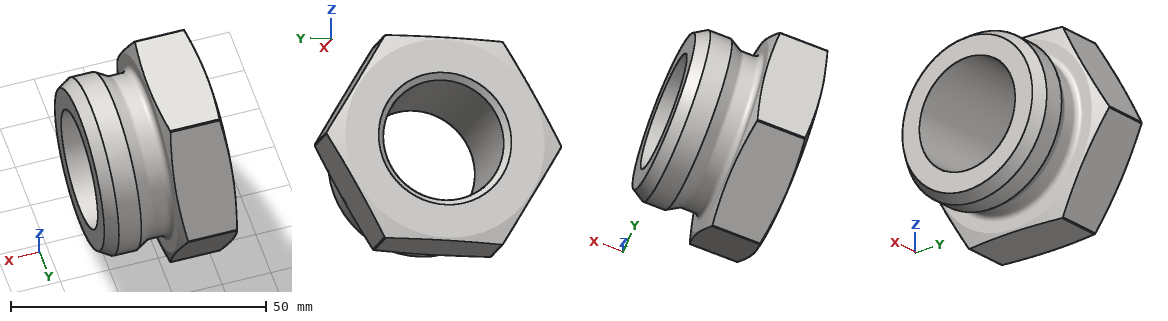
import cadquery as cq
import math

across_flats = 41.0
across_corners = 47.2
head_length = 12.0
head_face_diameter = 40.0
head_chamfer_angle = 15.0

total_length = 26.0
neck_diameter = 32.9
collar_diameter = 36.0
neck_fillet = 1.27
collar_taper_angle = 30.0
collar_start = 18.88
end_taper_length = 2.55

bore_diameter = 24.2
bore_mouth_diameter = 26.7
bore_chamfer_angle = 45.0


def revolve_about_x(profile):
    """Revolve a closed profile of (x, radius) points about the X axis."""
    return profile.close().revolve(360, (0, 0, 0), (1, 0, 0))


def make_head():
    """Hexagon with corners on +Y and -Y, turned to a cone at both faces."""
    hexagon_diameter = across_flats / math.cos(math.radians(30))
    prism = cq.Workplane("YZ").polygon(6, hexagon_diameter).extrude(head_length)
    corner_radius = across_corners / 2
    face_radius = head_face_diameter / 2
    chamfer_length = (corner_radius - face_radius) * math.tan(math.radians(head_chamfer_angle))
    envelope = revolve_about_x(
        cq.Workplane("XY")
        .moveTo(0, 0)
        .lineTo(0, face_radius)
        .lineTo(chamfer_length, corner_radius)
        .lineTo(head_length - chamfer_length, corner_radius)
        .lineTo(head_length, face_radius)
        .lineTo(head_length, 0)
    )
    return prism.intersect(envelope)


def make_shank():
    """Neck filleted at the head and the collar, followed by a collar tapered at both ends."""
    neck_radius = neck_diameter / 2
    collar_radius = collar_diameter / 2
    taper = math.radians(collar_taper_angle)
    taper_length = (collar_radius - neck_radius) / math.tan(taper)
    taper_start = collar_start - taper_length
    blend_start = taper_start - neck_fillet * math.tan(taper / 2)

    def blend_point(angle):
        return (
            blend_start + neck_fillet * math.sin(angle),
            neck_radius + neck_fillet * (1 - math.cos(angle)),
        )

    arc_inset = neck_fillet * (1 - math.sqrt(0.5))
    return revolve_about_x(
        cq.Workplane("XY")
        .moveTo(0, 0)
        .lineTo(0, neck_radius + neck_fillet)
        .lineTo(head_length, neck_radius + neck_fillet)
        .threePointArc(
            (head_length + arc_inset, neck_radius + arc_inset),
            (head_length + neck_fillet, neck_radius),
        )
        .lineTo(blend_start, neck_radius)
        .threePointArc(blend_point(taper / 2), blend_point(taper))
        .lineTo(collar_start, collar_radius)
        .lineTo(total_length - end_taper_length, collar_radius)
        .lineTo(total_length, neck_radius)
        .lineTo(total_length, 0)
    )


def make_bore():
    """Through bore with a conical mouth at the head face."""
    bore_radius = bore_diameter / 2
    mouth_radius = bore_mouth_diameter / 2
    mouth_depth = (mouth_radius - bore_radius) / math.tan(math.radians(bore_chamfer_angle))
    return revolve_about_x(
        cq.Workplane("XY")
        .moveTo(0, 0)
        .lineTo(0, mouth_radius)
        .lineTo(mouth_depth, bore_radius)
        .lineTo(total_length, bore_radius)
        .lineTo(total_length, 0)
    )


result = make_head().union(make_shank()).cut(make_bore())